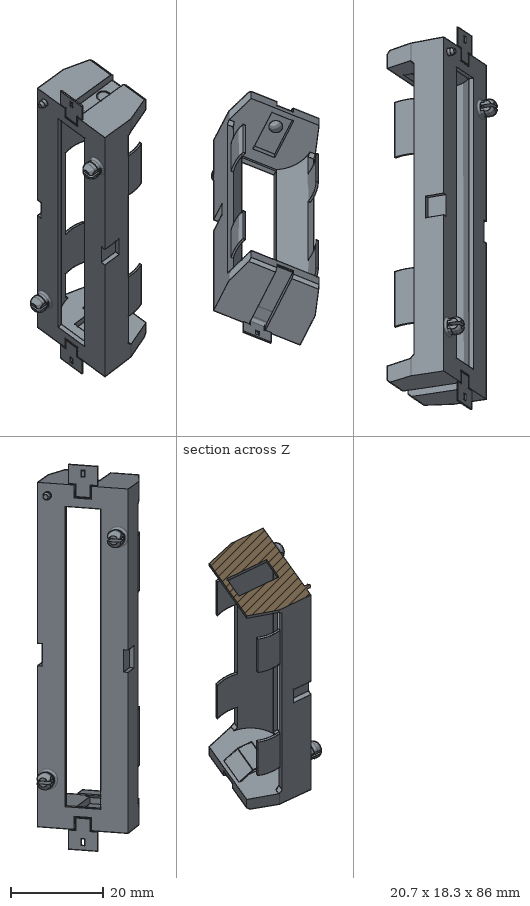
import cadquery as cq
import math


body_width = 20.65
body_length = 77.0
body_height = 14.89
rail_height = 7.25
wall_thickness = 4.2
taper_start_height = 8.0
top_half_width = 8.1
end_draft = 0.25
end_chamfer = 0.75
rail_corner = 0.85

cell_radius = 9.1
cell_height = 9.2
window_width = 8.1
window_length = 67.1
floor_thickness = 1.1

arm_thickness = 0.5
arm_top = 12.6
arm_length = 12.65
arm_offset = 19.5

notch_length = 5.0
notch_height = 4.4
notch_depth = 1.1

total_length = 86.0
sheet = 0.35
tab_width = 6.6
slot_width = 3.9
tongue_width = 3.3
tongue_gap = 0.3
tab_gap = 0.2
tab_hole_width = 0.85
tab_hole_length = 1.5
tab_hole_inset = 1.8
slot_depth = 2.6
plate_top = 14.6
plate_lean = 0.15
lean_top = 3.9
lean_bottom = 1.2
pocket_width = 5.2
pocket_floor = 3.65
pocket_top = 13.6
dimple_height = 9.95
dimple_radius = 1.5
dimple_depth = 0.8
spring_sheet = 0.3
spring_rise = 2.2
spring_top = 14.0
spring_knee = 10.5
spring_end = 7.0

pin_x = 8.0
pin_z = 27.65
pin_radius = 1.75
pin_length = 3.4
pin_flat_width = 3.0
pin_flare = 0.5
pin_slot = 0.7
pin_slot_start = 0.75
head_radius = 1.9
head_start = 1.3
head_straight = 2.2
head_mid_radius = 1.6
head_mid = 2.9
head_tip_radius = 1.0
nub_z = 35.75
nub_radius = 0.85
nub_tip_radius = 0.55
nub_shoulder = 0.8
nub_length = 1.55

half_width = body_width / 2
half_length = body_length / 2
half_total = total_length / 2
wall_z = half_length - wall_thickness
plate_z = half_length - slot_depth


def box(x0, x1, y0, y1, z0, z1):
    return cq.Workplane("XY").box(x1 - x0, y1 - y0, z1 - z0, centered=False).translate((x0, y0, z0))


def both_ends(shape):
    return shape.union(shape.mirror("XY"))


def profile_across_x(points, width):
    """Solid of a (y, z) outline, centred on X = 0."""
    return cq.Workplane("YZ").polyline(points).close().extrude(width / 2, both=True)


def make_body():
    cross_section = (
        cq.Workplane("XY")
        .polyline([
            (-half_width, 0),
            (half_width, 0),
            (half_width, taper_start_height),
            (top_half_width, body_height),
            (-top_half_width, body_height),
            (-half_width, taper_start_height),
        ])
        .close()
        .extrude(half_length, both=True)
    )
    end_top = half_length - end_draft
    quarter = [
        (0, half_length),
        (body_height - end_chamfer, end_top),
        (body_height, end_top - end_chamfer),
        (body_height, wall_z),
        (rail_height + rail_corner, wall_z),
        (rail_height, wall_z - rail_corner),
    ]
    side_outline = quarter + [(y, -z) for y, z in reversed(quarter)]
    body = cross_section.intersect(profile_across_x(side_outline, body_width))
    cavity = cq.Workplane("XY").center(0, cell_height).circle(cell_radius).extrude(wall_z, both=True)
    cavity = cavity.intersect(box(-half_width, half_width, floor_thickness, 2 * cell_radius + cell_height,
                                  -wall_z, wall_z))
    window = cq.Workplane("XZ").rect(window_width, window_length).extrude(-rail_height)
    return body.cut(cavity).cut(window)


def make_arms():
    ring = (
        cq.Workplane("XY")
        .center(0, cell_height)
        .circle(cell_radius + arm_thickness)
        .circle(cell_radius)
        .extrude(arm_length / 2, both=True)
    )
    arm_root = rail_height - arm_thickness
    arms = ring.intersect(box(-half_width, half_width, arm_root, arm_top, -arm_length / 2, arm_length / 2))
    return both_ends(arms.translate((0, 0, arm_offset)))


def make_notches():
    half = notch_length / 2
    notch = box(half_width - notch_depth, half_width, 0, notch_height, -half, half)
    return notch.union(notch.mirror("YZ"))


def make_slot():
    """Cut for the contact of the +Z end: outer slot, gap at the tongue end and inner pocket."""
    half = slot_width / 2
    half_pocket = pocket_width / 2
    outer = box(-half, half, 0, body_height, plate_z, half_length)
    gap = box(-half, half, 0, sheet, plate_z - tongue_gap, plate_z)
    pocket = box(-half_pocket, half_pocket, pocket_floor, pocket_top, wall_z, plate_z)
    return outer.union(gap).union(pocket)


def make_tab():
    """Solder tab beyond the +Z end, with its hole and the narrow tongue that reaches the plate."""
    half_tab = tab_width / 2
    half_tongue = tongue_width / 2
    half_hole = tab_hole_width / 2
    hole_z = half_total - tab_hole_inset
    hole_end = hole_z + tab_hole_length / 2
    tab = box(-half_tab, half_tab, 0, sheet, half_length + tab_gap, half_total)
    tab = tab.cut(box(-half_hole, half_hole, 0, sheet, hole_end - tab_hole_length, hole_end))
    return tab.union(box(-half_tongue, half_tongue, 0, sheet, plate_z, half_length + tab_gap))


def make_plate():
    """Upright plate in the slot of the +Z end; its foot leans out and curves into the tongue."""
    outer_z = plate_z + sheet
    lean_z = outer_z + plate_lean
    bend = lean_bottom - sheet
    mid = bend * (1 - math.sqrt(0.5))
    outline = (
        cq.Workplane("YZ")
        .moveTo(sheet, plate_z)
        .lineTo(plate_top, plate_z)
        .lineTo(plate_top, outer_z)
        .lineTo(lean_top, outer_z)
        .lineTo(lean_bottom, lean_z)
        .threePointArc((sheet + mid, lean_z + mid), (sheet, lean_z + bend))
        .close()
    )
    foot = box(-tongue_width / 2, tongue_width / 2, 0, sheet, plate_z, outer_z)
    return outline.extrude(slot_width / 2, both=True).union(foot)


def dome(base_z, radius, depth):
    """Spherical cap bulging toward -Z from a base circle at base_z."""
    sphere_radius = (radius ** 2 + depth ** 2) / (2 * depth)
    sphere = cq.Workplane("XY").sphere(sphere_radius)
    sphere = sphere.translate((0, dimple_height, base_z - depth + sphere_radius))
    return sphere.intersect(box(-radius, radius, dimple_height - radius, dimple_height + radius,
                                base_z - depth, base_z))


def make_dimple_bump():
    return dome(plate_z, dimple_radius, dimple_depth)


def make_dimple_hollow():
    return dome(plate_z + sheet, dimple_radius, dimple_depth)


def make_spring():
    """Bent leaf of the -Z contact that presses on the cell."""
    low = -wall_z - spring_sheet
    high = -wall_z + spring_rise
    leaf = [
        (spring_top, low),
        (spring_top, low + spring_sheet),
        (spring_knee, high),
        (spring_end, high),
        (spring_end, high - spring_sheet),
        (spring_knee, high - spring_sheet),
        (spring_top - spring_sheet, low),
    ]
    return profile_across_x(leaf, tab_width)


def make_pin(x, z):
    """Pin with a rounded head, flattened on both X sides, flared at the base and split by a slot."""
    shank = (
        cq.Workplane("XY")
        .lineTo(pin_radius, 0)
        .lineTo(pin_radius, -head_start)
        .lineTo(head_radius, -head_start)
        .lineTo(head_radius, -head_straight)
        .threePointArc((head_mid_radius, -head_mid), (head_tip_radius, -pin_length))
        .lineTo(0, -pin_length)
        .close()
        .revolve(360, (0, 0, 0), (0, 1, 0))
    )
    half_flat = pin_flat_width / 2
    shank = shank.intersect(box(-half_flat, half_flat, -pin_length, 0, -head_radius, head_radius))
    foot_radius = pin_radius + pin_flare
    mid = pin_flare * (1 - math.sqrt(0.5))
    foot = (
        cq.Workplane("XY")
        .lineTo(foot_radius, 0)
        .threePointArc((pin_radius + mid, -mid), (pin_radius, -pin_flare))
        .lineTo(0, -pin_flare)
        .close()
        .revolve(360, (0, 0, 0), (0, 1, 0))
    )
    slot = box(-head_radius, head_radius, -pin_length, -pin_slot_start, -pin_slot / 2, pin_slot / 2)
    return shank.union(foot).cut(slot).translate((x, 0, z))


def make_nub():
    outline = cq.Workplane("XY").polyline([
        (0, 0),
        (nub_radius, 0),
        (nub_radius, -nub_shoulder),
        (nub_tip_radius, -nub_length),
        (0, -nub_length),
    ]).close()
    return outline.revolve(360, (0, 0, 0), (0, 1, 0)).translate((-pin_x, 0, nub_z))


result = make_body().cut(make_notches()).cut(both_ends(make_slot()))
result = result.union(make_arms())
result = result.union(both_ends(make_tab().union(make_plate())))
result = result.union(make_dimple_bump()).cut(make_dimple_hollow())
result = result.union(make_spring())
for side in (-1, 1):
    result = result.union(make_pin(side * pin_x, side * pin_z))
result = result.union(make_nub())